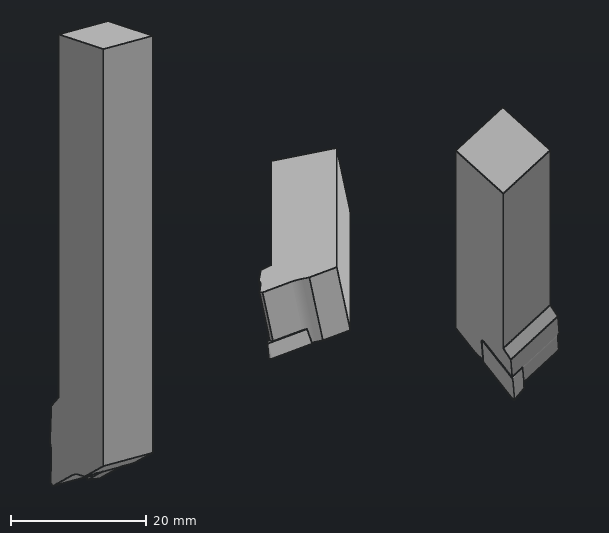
import cadquery as cq
import math


overall_height = 71.35
shank_side = 9.9

nose_angle = 55.0
side_tilt = 3.0
end_tilt = 90.0 - nose_angle - side_tilt
side_lean = math.tan(math.radians(side_tilt))
end_slope = math.tan(math.radians(end_tilt))

inscribed_diameter = 6.35
insert_thickness = 2.35
insert_clearance = 7.0
nose_radius = 0.4
nose_reach = 2.4
insert_proud = 0.1

shoulder_height = 15.1
shoulder_width = 1.6
shoulder_drop = 1.65
side_relief_top = 7.8
side_relief_bottom = 5.35
side_relief_depth = 0.4
corner_height = 1.5
corner_bevel_x = 0.5
corner_bevel_z = 0.4
heel_height = 6.8
end_relief_right = 5.8
end_relief_middle = 4.65
end_relief_left = 3.15


def make_insert():
    """Rhombic insert with rounded corners and drafted flanks, placed by its nose."""
    edge = inscribed_diameter / math.sin(math.radians(nose_angle))
    side_dir = cq.Vector(math.sin(math.radians(side_tilt)), math.cos(math.radians(side_tilt)))
    end_dir = cq.Vector(math.cos(math.radians(end_tilt)), math.sin(math.radians(end_tilt)))

    setback = nose_radius / math.sin(math.radians(nose_angle / 2))
    nose_center = cq.Vector(nose_radius - nose_reach, nose_radius)
    tip = nose_center - (side_dir + end_dir).normalized() * setback

    corners = [
        tip,
        tip + end_dir * edge,
        tip + end_dir * edge + side_dir * edge,
        tip + side_dir * edge,
    ]
    outline = cq.Sketch().polygon([*corners, tip]).vertices().fillet(nose_radius)
    top_face = cq.Workplane("XZ", origin=(0, shank_side + insert_proud, 0))
    return top_face.placeSketch(outline).extrude(insert_thickness, taper=insert_clearance)


def make_holder(insert):
    """Shank and angled head in one profile, with the seat cut to the insert's shape."""
    shoulder_bottom = shoulder_height - shoulder_drop
    relief_top_x = -shoulder_width - (shoulder_bottom - side_relief_top) * side_lean
    flank_top_x = (
        -shoulder_width - (shoulder_bottom - side_relief_bottom) * side_lean + side_relief_depth
    )
    corner_x = flank_top_x - (side_relief_bottom - corner_height) * side_lean
    bevel_end_x = corner_x + corner_bevel_x
    bevel_end_z = corner_height - corner_bevel_z
    end_relief_z = heel_height - (shank_side - end_relief_right) * end_slope
    flank_end_z = bevel_end_z + (end_relief_left - bevel_end_x) * end_slope

    profile = (
        cq.Workplane("XZ", origin=(0, shank_side, 0))
        .moveTo(shank_side, overall_height)
        .lineTo(shank_side, heel_height)
        .lineTo(end_relief_right, end_relief_z)
        .lineTo(end_relief_middle, end_relief_z)
        .tangentArcPoint((end_relief_left, flank_end_z), relative=False)
        .lineTo(bevel_end_x, bevel_end_z)
        .lineTo(corner_x, corner_height)
        .lineTo(flank_top_x, side_relief_bottom)
        .tangentArcPoint((relief_top_x, side_relief_top), relative=False)
        .lineTo(-shoulder_width, shoulder_bottom)
        .lineTo(0, shoulder_height)
        .lineTo(0, overall_height)
        .close()
    )
    return profile.extrude(shank_side).cut(insert)


insert = make_insert()
holder = make_holder(insert)

result = cq.Compound.makeCompound([holder.val(), insert.val()])